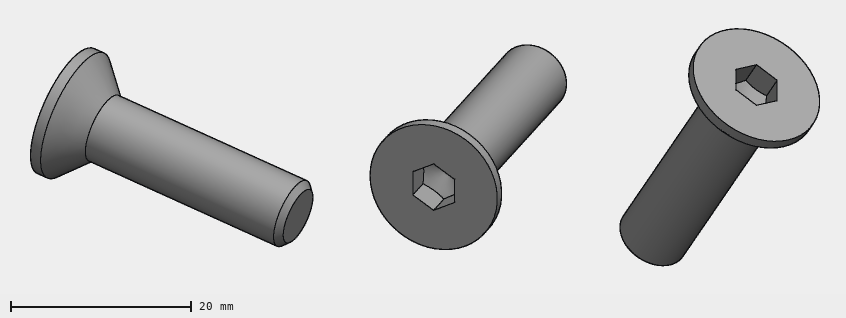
import cadquery as cq
import math

total_length = 30.0
head_diameter = 15.25
shank_diameter = 8.0
head_rim_width = 1.32
tip_chamfer_length = 0.78
tip_chamfer_depth = 0.78
socket_across_flats = 4.98
socket_depth = 3.0
socket_tip_angle = 120.0

head_radius = head_diameter / 2
shank_radius = shank_diameter / 2
head_length = head_rim_width + head_radius - shank_radius
socket_corner_radius = socket_across_flats / math.sqrt(3)
socket_tip_length = socket_corner_radius / math.tan(math.radians(socket_tip_angle / 2))


def screw_body():
    """Head, countersink, shank and chamfered tip turned about the X axis."""
    return (
        cq.Workplane("XY")
        .lineTo(0, head_radius)
        .lineTo(head_rim_width, head_radius)
        .lineTo(head_length, shank_radius)
        .lineTo(total_length - tip_chamfer_length, shank_radius)
        .lineTo(total_length, shank_radius - tip_chamfer_depth)
        .lineTo(total_length, 0)
        .close()
        .revolve(360, (0, 0, 0), (1, 0, 0))
    )


def hex_socket():
    """Hexagonal prism with corners on Z, pointed by a cone through its corners."""
    socket_end = socket_depth + socket_tip_length
    hexagon = (
        cq.Workplane("YZ")
        .polygon(6, 2 * socket_corner_radius)
        .extrude(socket_end)
        .rotate((0, 0, 0), (1, 0, 0), 90)
    )
    pointed_round = (
        cq.Workplane("XY")
        .lineTo(0, socket_corner_radius)
        .lineTo(socket_depth, socket_corner_radius)
        .lineTo(socket_end, 0)
        .close()
        .revolve(360, (0, 0, 0), (1, 0, 0))
    )
    return hexagon.intersect(pointed_round)


result = screw_body().cut(hex_socket())